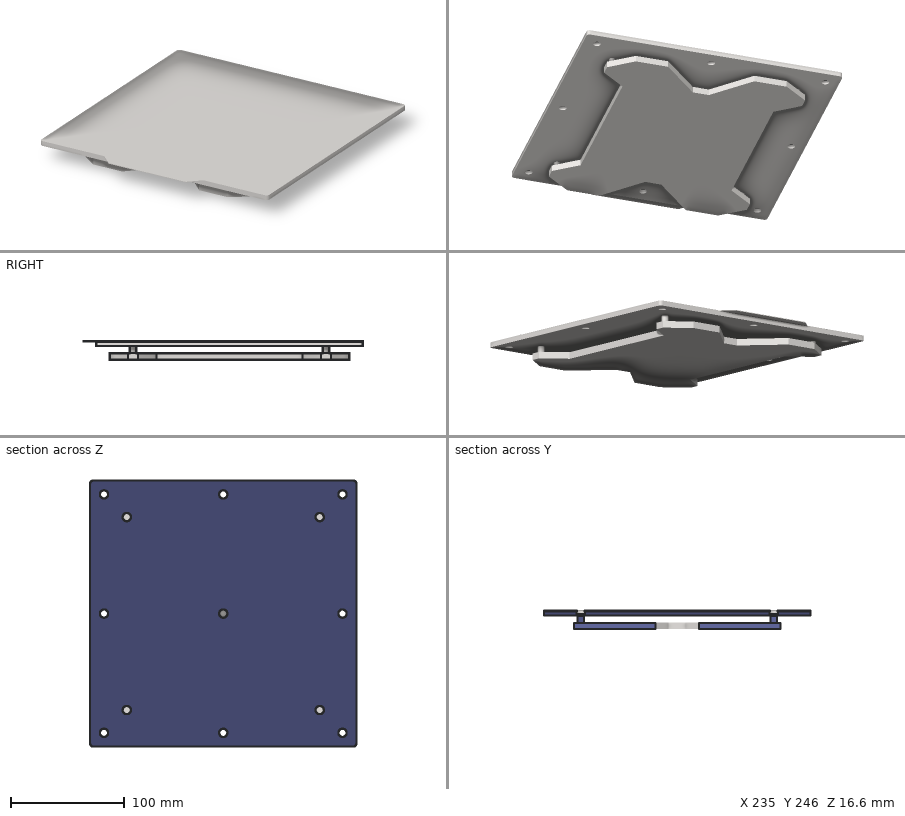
import cadquery as cq

CARRIAGE_THICKNESS = 6.0
BED_BOTTOM = 12.0
BED_THICKNESS = 3.7
LAYER_THICKNESS = 0.3
SHEET_THICKNESS = 0.62
SPACER_HEIGHT = BED_BOTTOM - CARRIAGE_THICKNESS
LAYER_BOTTOM = BED_BOTTOM + BED_THICKNESS
SHEET_BOTTOM = LAYER_BOTTOM + LAYER_THICKNESS

BED_SIDE = 235.0
CORNER_RADIUS = 3.0

TOTAL_LENGTH = 246.0
TAB_DEPTH = TOTAL_LENGTH - BED_SIDE
TAB_ROOT_WIDTH = 102.8
TAB_TIP_WIDTH = 79.5

MOUNT_SPACING = 170.0
SPACER_DIAMETER = 6.0
SCREW_RECESS_DIAMETER = 7.0
SCREW_RECESS_DEPTH = BED_THICKNESS / 2

MAGNETS_PER_SIDE = 3
MAGNET_SPACING = 105.0
MAGNET_HOLE_DIAMETER = 7.0

ARM_OUTER_X = 91.0
ARM_SIDE_X = 69.4
ARM_INNER_X = 39.5
ARM_END_Y = 105.5
ARM_CORNER_Y = 89.5
ARM_TIP_Y = 80.5
WAIST_Y = 64.5
NOTCH_X = 7.5
NOTCH_Y = ARM_END_Y - (ARM_INNER_X - NOTCH_X)


def rounded_square(bottom, thickness):
    """Square plate with rounded corners, centred on the Z axis."""
    plate = cq.Workplane("XY", origin=(0, 0, bottom)).rect(BED_SIDE, BED_SIDE).extrude(thickness)
    return plate.edges("|Z").fillet(CORNER_RADIUS)


def cylinder_grid(bottom, height, diameter, spacing, per_side):
    """Square grid of equal upright cylinders, centred on the Z axis."""
    return (
        cq.Workplane("XY", origin=(0, 0, bottom))
        .rarray(spacing, spacing, per_side, per_side)
        .circle(diameter / 2)
        .extrude(height)
    )


def mount_cylinders(bottom, height, diameter):
    """One cylinder at each of the four mounting points."""
    return cylinder_grid(bottom, height, diameter, MOUNT_SPACING, 2)


def make_carriage():
    """Flat plate with four arms that reach out to the mounting points."""
    quarter = [
        (NOTCH_X, NOTCH_Y),
        (ARM_INNER_X, ARM_END_Y),
        (ARM_SIDE_X, ARM_END_Y),
        (ARM_OUTER_X, ARM_CORNER_Y),
        (ARM_OUTER_X, ARM_TIP_Y),
        (ARM_SIDE_X, WAIST_Y),
    ]
    right_half = quarter + [(x, -y) for x, y in reversed(quarter)]
    left_half = [(-x, -y) for x, y in right_half]
    return cq.Workplane("XY").polyline(right_half + left_half).close().extrude(CARRIAGE_THICKNESS)


def make_spacers():
    """Four round posts that carry the bed above the carriage."""
    return mount_cylinders(CARRIAGE_THICKNESS, SPACER_HEIGHT, SPACER_DIAMETER)


def make_bed():
    """Plate with screw head recesses over the spacers and a grid of magnet holes."""
    recess_bottom = LAYER_BOTTOM - SCREW_RECESS_DEPTH
    screw_recesses = mount_cylinders(recess_bottom, SCREW_RECESS_DEPTH, SCREW_RECESS_DIAMETER)
    magnet_holes = cylinder_grid(
        BED_BOTTOM, BED_THICKNESS, MAGNET_HOLE_DIAMETER, MAGNET_SPACING, MAGNETS_PER_SIDE
    )
    return rounded_square(BED_BOTTOM, BED_THICKNESS).cut(screw_recesses).cut(magnet_holes)


def make_layer():
    """Thin layer on the bed, open above the screw heads but covering the magnet holes."""
    screw_openings = mount_cylinders(LAYER_BOTTOM, LAYER_THICKNESS, SCREW_RECESS_DIAMETER)
    return rounded_square(LAYER_BOTTOM, LAYER_THICKNESS).cut(screw_openings)


def make_sheet():
    """Removable top sheet with the grip tab at the front."""
    root_y = -BED_SIDE / 2
    tip_y = root_y - TAB_DEPTH
    tab_outline = [
        (-TAB_ROOT_WIDTH / 2, root_y),
        (-TAB_TIP_WIDTH / 2, tip_y),
        (TAB_TIP_WIDTH / 2, tip_y),
        (TAB_ROOT_WIDTH / 2, root_y),
    ]
    tab = (
        cq.Workplane("XY", origin=(0, 0, SHEET_BOTTOM))
        .polyline(tab_outline)
        .close()
        .extrude(SHEET_THICKNESS)
    )
    return rounded_square(SHEET_BOTTOM, SHEET_THICKNESS).union(tab)


carriage = make_carriage()
spacers = make_spacers()
bed = make_bed()
layer = make_layer()
sheet = make_sheet()

result = cq.Compound.makeCompound(
    [carriage.val(), *spacers.solids().vals(), bed.solids().val(), layer.solids().val(), sheet.solids().val()]
)